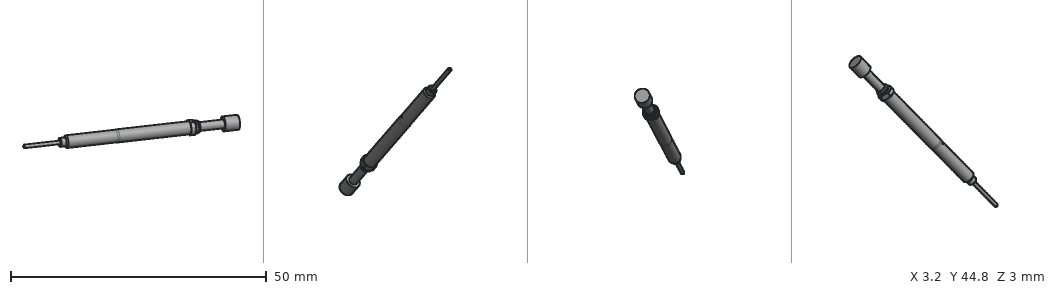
import cadquery as cq

overall_length = 44.8

head_diameter = 3.0
head_length = 3.0
neck_diameter = 1.8

nose_start = 8.1
nose_diameter = 2.6
nose_face_diameter = 2.2
nose_bevel_length = 0.4

collar_start = 8.95
collar_end = 10.15
collar_diameter = 3.2

barrel_diameter = 2.65
taper_start = 25.1
taper_end = 25.5
front_diameter = 2.55
front_end = 36.0
front_chamfer = 0.3

spigot_diameter = 1.85
spigot_end = 37.15
spigot_chamfer = 0.15

pin_diameter = 0.75
point_diameter = 0.45
point_length = 0.3

pit_diameter = 0.3
pit_depth = 0.15
pit_station = 26.15


def rod(diameter, start, end):
    """Solid cylinder on the Y axis between two distances from the head face."""
    return cq.Workplane("XZ", origin=(0, -start, 0)).circle(diameter / 2).extrude(end - start)


def cone(start_diameter, end_diameter, start, end):
    """Solid cone or frustum on the Y axis between two distances from the head face."""
    solid = cq.Solid.makeCone(
        start_diameter / 2,
        end_diameter / 2,
        end - start,
        pnt=cq.Vector(0, -start, 0),
        dir=cq.Vector(0, -1, 0),
    )
    return cq.Workplane(obj=solid)


def make_plunger():
    head = rod(head_diameter, 0, head_length)
    neck = rod(neck_diameter, head_length, nose_start)
    return head.union(neck)


def make_nose():
    """Cylinder leading out of the collar, narrowing to a smaller flat face at its end."""
    bevel_end = nose_start + nose_bevel_length
    bevel = cone(nose_face_diameter, nose_diameter, nose_start, bevel_end)
    return bevel.union(rod(nose_diameter, bevel_end, collar_start))


def make_collar():
    """Round collar with a 45 degree lead-in and flats on +Z and -Z."""
    lead_in = (collar_diameter - nose_diameter) / 2
    full_start = collar_start + lead_in
    collar = cone(nose_diameter, collar_diameter, collar_start, full_start)
    collar = collar.union(rod(collar_diameter, full_start, collar_end))
    flats = cq.Workplane("XZ").rect(collar_diameter, barrel_diameter).extrude(overall_length)
    return collar.intersect(flats)


def make_barrel():
    rear = rod(barrel_diameter, collar_end, taper_start)
    taper = cone(barrel_diameter, front_diameter, taper_start, taper_end)
    front = rod(front_diameter, taper_end, front_end).faces("<Y").chamfer(front_chamfer)
    spigot = rod(spigot_diameter, front_end, spigot_end).faces("<Y").chamfer(spigot_chamfer)
    return rear.union(taper).union(front).union(spigot)


def make_pin():
    point_start = overall_length - point_length
    shaft = rod(pin_diameter, spigot_end, point_start)
    return shaft.union(cone(point_diameter, 0, point_start, overall_length))


def make_pit():
    pit_floor = -front_diameter / 2 + pit_depth
    return (
        cq.Workplane("YZ", origin=(pit_floor, -pit_station, 0))
        .circle(pit_diameter / 2)
        .extrude(-front_diameter)
    )


body = make_plunger().union(make_nose()).union(make_collar()).union(make_barrel()).union(make_pin())
result = body.cut(make_pit())